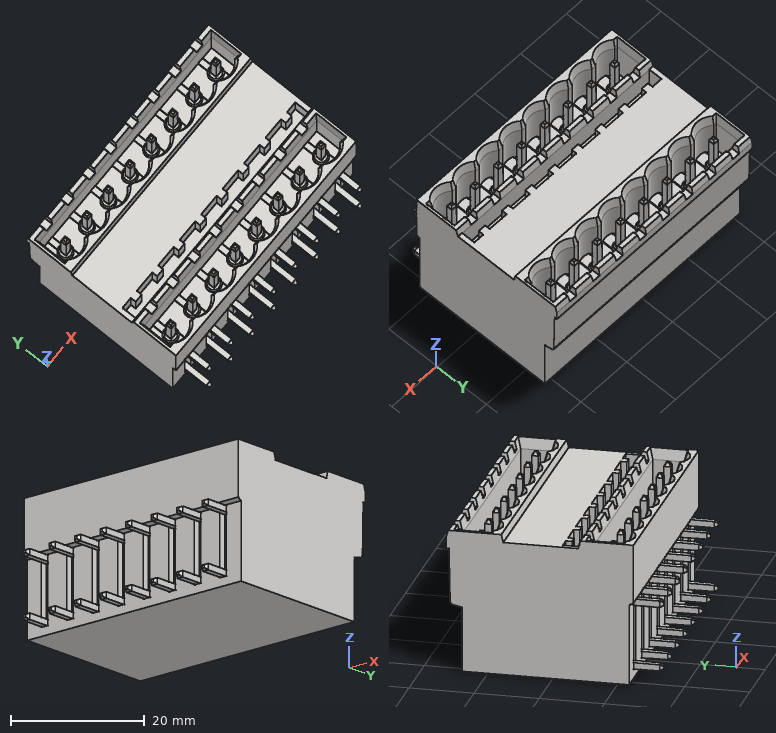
import cadquery as cq
import math


width = 42.65
height = 22.3
pole_count = 8
pitch = 5.07
row_spacing = 4 * pitch
tail_spacing = 2 * pitch
front_row_y = 3.92
row_positions = [front_row_y, front_row_y + row_spacing]
pole_positions = [(i - (pole_count - 1) / 2) * pitch for i in range(pole_count)]

front_step = 0.65
front_step_drop = 9.65
front_chamfer_drop = 9.2
rear_foot_y = 26.35
rear_wall_top_y = 28.35
rear_wall_bottom_y = 28.2
rear_wall_bottom_drop = 11.43
rear_corner_y = 27.95
rear_corner_drop = 11.75
rear_foot_drop = 12.1
lip_y = 28.82
lip_slope = 0.35
lip_slope_drop = 1.1
lip_height = 2.9

trough_depth = 1.25
trough_front_y = 8.15
trough_rear_y = 20.3
trough_front_slope = 0.4
trough_rear_slope = 0.3

cavity_depth = 8.53
flare = 0.45
flare_depth = 1.7
end_wall = 0.95
cavity_side = width / 2 - end_wall
cavity_back = 3.0
scallop_radius = 2.85
scallop_shoulder = 1.9

notch_width = 1.35
notch_top_width = 1.7
notch_overrun = 0.85
notch_start = cavity_back - notch_overrun
notch_length = 3.4

pocket_inset = 0.9
pocket_width = width - 2 * pocket_inset
pocket_front_y = trough_front_y + trough_front_slope
pocket_rear_y = 11.05
pocket_depth = 4.25
tab_width = 1.4
tab_length = 0.95

boss_diameter = 2.5
boss_chamfer = 0.25
boss_height = 0.5
rib_width = 1.05
pad_width = 2.05
pad_height = 0.25

pin_size = 1.02
pin_tip_size = 0.45
pin_tip_length = 0.55
contact_top_drop = 1.0
tail_reach = 3.9
lower_tail_z = 1.95
tail_heights = [lower_tail_z, lower_tail_z + tail_spacing]

slot_width = 1.32
slot_depth = 1.05
slot_bottom = lower_tail_z - pin_size / 2
overlap = 0.2

cavity_floor = height - cavity_depth
trough_floor = height - trough_depth


def block(x_size, y_range, z_range, x_center=0.0):
    """Axis-aligned box spanning the given Y and Z ranges."""
    y_size = y_range[1] - y_range[0]
    z_size = z_range[1] - z_range[0]
    box = cq.Workplane("XY").box(x_size, y_size, z_size, centered=(True, False, False))
    return box.translate((x_center, y_range[0], z_range[0]))


def housing():
    """Side profile extruded across the full width."""
    profile = [
        (front_step, 0),
        (front_step, height - front_step_drop),
        (0, height - front_chamfer_drop),
        (0, height),
        (trough_front_y, height),
        (trough_front_y + trough_front_slope, trough_floor),
        (trough_rear_y - trough_rear_slope, trough_floor),
        (trough_rear_y, height),
        (lip_y - lip_slope, height),
        (lip_y, height - lip_slope_drop),
        (lip_y, height - lip_height),
        (rear_wall_top_y, height - lip_height),
        (rear_wall_bottom_y, height - rear_wall_bottom_drop),
        (rear_corner_y, height - rear_corner_drop),
        (rear_foot_y, height - rear_foot_drop),
        (rear_foot_y, 0),
    ]
    return cq.Workplane("YZ").polyline(profile).close().extrude(width / 2, both=True)


def cavity_outline(workplane, row_y, growth):
    """Cavity outline: straight back and sides, one scallop per pole along the front."""
    side = cavity_side + growth
    back = row_y + cavity_back + growth
    radius = scallop_radius + growth
    shoulder = scallop_shoulder + growth
    shoulder_y = row_y - shoulder
    half_chord = math.sqrt(radius**2 - shoulder**2)

    outline = workplane.moveTo(-side, back).lineTo(-side, shoulder_y)
    for x in pole_positions:
        outline = outline.lineTo(x - half_chord, shoulder_y)
        outline = outline.threePointArc((x, row_y - radius), (x + half_chord, shoulder_y))
    return outline.lineTo(side, shoulder_y).lineTo(side, back).close()


def cavity(row_y):
    """Straight lower cavity with a mouth that widens towards the top."""
    flare_start = height - flare_depth
    lower_plane = cq.Workplane("XY").workplane(offset=cavity_floor)
    lower = cavity_outline(lower_plane, row_y, 0).extrude(cavity_depth - flare_depth)
    mouth = cavity_outline(cq.Workplane("XY").workplane(offset=flare_start), row_y, 0)
    mouth = cavity_outline(mouth.workplane(offset=flare_depth), row_y, flare)
    return lower.union(mouth.loft(ruled=True, combine=True))


def notch(x, row_y):
    """Trapezoidal notch through the back wall, level with the trough floor."""
    profile = [
        (x - notch_width / 2, trough_floor),
        (x + notch_width / 2, trough_floor),
        (x + notch_top_width / 2, height),
        (x - notch_top_width / 2, height),
    ]
    plane = cq.Workplane("XZ", origin=(0, row_y + notch_start, 0))
    return plane.polyline(profile).close().extrude(-notch_length)


def latch_pocket():
    """Pocket behind the front row, with one tab per pole left on its rear side."""
    z_range = (trough_floor - pocket_depth, trough_floor)
    pocket = block(pocket_width, (pocket_front_y, pocket_rear_y), z_range)
    for x in pole_positions:
        tab = block(tab_width, (pocket_rear_y - tab_length, pocket_rear_y), z_range, x)
        pocket = pocket.cut(tab)
    return pocket


def tail_slot(x):
    """Vertical groove in the lower front face that holds one pair of tails."""
    slot_top = height - front_step_drop
    return block(slot_width, (front_step, front_step + slot_depth), (slot_bottom, slot_top), x)


def pin(start, direction, length):
    """Square pin with a tapered tip, starting at a point and running along a direction."""
    plane = cq.Plane(origin=start, xDir=(1, 0, 0), normal=direction)
    shank = cq.Workplane(plane).rect(pin_size, pin_size).extrude(length - pin_tip_length)
    tip = cq.Workplane(plane).workplane(offset=length - pin_tip_length).rect(pin_size, pin_size)
    tip = tip.workplane(offset=pin_tip_length).rect(pin_tip_size, pin_tip_size).loft(combine=True)
    return shank.union(tip)


def floor_details(x, row_y):
    """Raised boss, rear rib, front pad and upright contact of one pole."""
    z_range = (cavity_floor - overlap, cavity_floor + pad_height)
    rib = block(rib_width, (row_y, row_y + cavity_back + overlap), z_range, x)
    pad = block(pad_width, (row_y - scallop_radius, row_y), z_range, x)

    boss = cq.Workplane("XY", origin=(x, row_y, cavity_floor - overlap))
    boss = boss.circle(boss_diameter / 2).extrude(overlap + boss_height)
    boss = boss.faces(">Z").chamfer(boss_chamfer)

    contact_length = height - contact_top_drop - cavity_floor + overlap
    contact = pin((x, row_y, cavity_floor - overlap), (0, 0, 1), contact_length)
    return rib.union(pad).union(boss).union(contact)


def tail(x, z):
    """Horizontal solder tail leaving the front of the housing."""
    root_y = front_step + slot_depth + overlap
    return pin((x, root_y, z), (0, -1, 0), root_y + tail_reach)


def each_pole_and_row(make_feature):
    """The feature repeated at every pole of both rows."""
    return [make_feature(x, row_y) for row_y in row_positions for x in pole_positions]


def combined(features):
    """All solids of the given features gathered into one workplane object."""
    solids = [solid for feature in features for solid in feature.solids().vals()]
    return cq.Workplane(cq.Compound.makeCompound(solids))


cavities = [cavity(row_y) for row_y in row_positions]
slots = [tail_slot(x) for x in pole_positions]
tails = [tail(x, z) for z in tail_heights for x in pole_positions]

result = housing().cut(combined(cavities))
result = result.cut(combined([latch_pocket()] + slots))
result = result.cut(combined(each_pole_and_row(notch)))
result = result.union(combined(each_pole_and_row(floor_details) + tails))